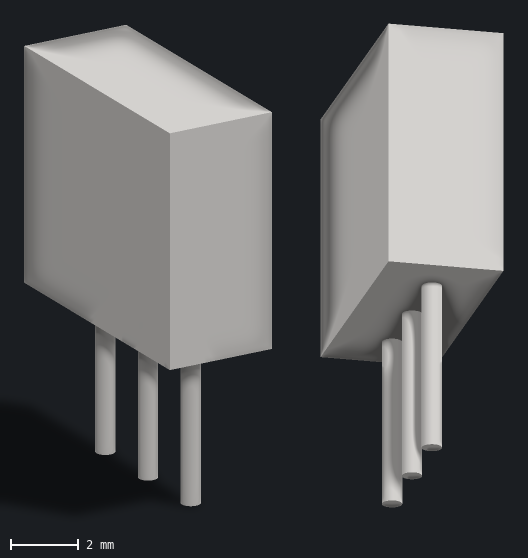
import cadquery as cq

total_height = 12.6
body_width = 8.5
body_depth = 3.5
body_height = 7.5

pin_diameter = 0.6
pin_pitch = 2.5
pin_count = 3
pin_length = total_height - body_height


def make_housing():
    """Plain rectangular block with its underside at Z = 0."""
    return cq.Workplane("XY").box(body_width, body_depth, body_height, centered=(True, True, False))


def make_pin(x):
    """Straight round lead that hangs from the underside of the housing."""
    return cq.Workplane("XY").center(x, 0).circle(pin_diameter / 2).extrude(-pin_length)


housing = make_housing()

pins = []
for index in range(pin_count):
    pin_x = (index - (pin_count - 1) / 2) * pin_pitch
    pins.append(make_pin(pin_x).val())

result = cq.Compound.makeCompound([housing.val(), *pins])